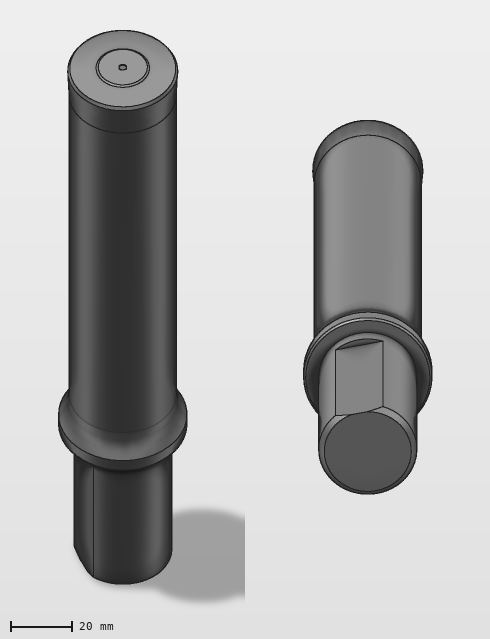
import cadquery as cq
import math

total_height = 229.0
shank_diameter = 32.0
collar_diameter = 42.0
barrel_diameter = 35.0

collar_bottom = 60.0
collar_top = 65.3
flare_top = 74.9
cap_bottom = 216.2
shank_chamfer = 1.8
collar_chamfer = 0.7

flat_distance = 14.0
flat_top = 54.7

cap_rim_diameter = 36.0
cap_end_diameter = 34.5
cap_rim_height = 227.2
cap_end_height = 228.3
boss_base_diameter = 17.5
boss_top_diameter = 16.0
boss_base_height = 228.5
center_hole_diameter = 2.5
center_hole_depth = 0.5


def make_holder():
    """Shank, collar and barrel, with a concave flare tangent to the barrel."""
    shank_radius = shank_diameter / 2
    collar_radius = collar_diameter / 2
    barrel_radius = barrel_diameter / 2

    flare_width = collar_radius - barrel_radius
    flare_height = flare_top - collar_top
    flare_arc_radius = (flare_height**2 + flare_width**2) / (2 * flare_width)
    half_angle = math.asin(flare_height / flare_arc_radius) / 2
    flare_middle = (
        barrel_radius + flare_arc_radius * (1 - math.cos(half_angle)),
        flare_top - flare_arc_radius * math.sin(half_angle),
    )

    body = (
        cq.Workplane("XZ")
        .moveTo(0, 0)
        .lineTo(shank_radius - shank_chamfer, 0)
        .lineTo(shank_radius, shank_chamfer)
        .lineTo(shank_radius, collar_bottom)
        .lineTo(collar_radius - collar_chamfer, collar_bottom)
        .lineTo(collar_radius, collar_bottom + collar_chamfer)
        .lineTo(collar_radius, collar_top)
        .threePointArc(flare_middle, (barrel_radius, flare_top))
        .lineTo(barrel_radius, cap_bottom)
        .lineTo(0, cap_bottom)
        .close()
        .revolve(360, (0, 0), (0, 1))
    )

    flat_cutter = cq.Workplane("XY").box(
        shank_diameter, shank_diameter, flat_top, centered=(True, False, False)
    ).translate((0, -flat_distance - shank_diameter, 0))
    return body.cut(flat_cutter)


def make_cap():
    """Flared cap with a shallow conical end, a low central boss and a small blind hole."""
    cap = (
        cq.Workplane("XZ")
        .moveTo(0, cap_bottom)
        .lineTo(barrel_diameter / 2, cap_bottom)
        .lineTo(cap_rim_diameter / 2, cap_rim_height)
        .lineTo(cap_end_diameter / 2, cap_end_height)
        .lineTo(boss_base_diameter / 2, boss_base_height)
        .lineTo(boss_top_diameter / 2, total_height)
        .lineTo(0, total_height)
        .close()
        .revolve(360, (0, 0), (0, 1))
    )
    hole_bottom = total_height - center_hole_depth
    hole = (
        cq.Workplane("XY")
        .workplane(offset=hole_bottom)
        .circle(center_hole_diameter / 2)
        .extrude(center_hole_depth)
    )
    return cap.cut(hole)


holder = make_holder()
cap = make_cap()
result = cq.Compound.makeCompound([holder.val(), cap.val()])